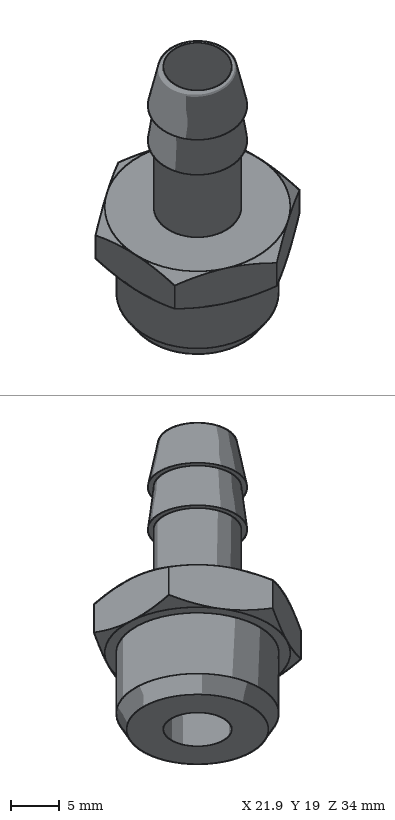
import cadquery as cq
import math

total_height = 34.0
thread_length = 9.0
hex_height = 5.0
hex_top = thread_length + hex_height

thread_radius = 16.662 / 2
lead_in_height = 1.85
lead_in_angle = 30.0
lead_in_radius = thread_radius - lead_in_height * math.tan(math.radians(lead_in_angle))

across_flats = 19.0
hex_sides = 6
hex_half_angle = 180 / hex_sides
across_corners = across_flats / math.cos(math.radians(hex_half_angle))
hex_chamfer_angle = 30.0

bore_radius = 7.0 / 2
stem_radius = 9.0 / 2
barb_radius = 10.2 / 2
barb_pitch = 5.0
tip_barb_length = 5.5
upper_barb_z = total_height - tip_barb_length
lower_barb_z = upper_barb_z - barb_pitch
tip_radius = 4.0
tip_round = 0.5


def make_threaded_end():
    """Plain cylinder with a conical lead-in at the bottom."""
    half_section = (
        cq.Workplane("XZ")
        .moveTo(0, 0)
        .lineTo(lead_in_radius, 0)
        .lineTo(thread_radius, lead_in_height)
        .lineTo(thread_radius, thread_length)
        .lineTo(0, thread_length)
        .close()
    )
    return half_section.revolve(360, (0, 0, 0), (0, 1, 0))


def make_hexagon():
    """Hexagonal collar with corners on the X axis, both ends turned to a cone."""
    prism = (
        cq.Workplane("XY", origin=(0, 0, thread_length))
        .polygon(hex_sides, across_corners)
        .extrude(hex_height)
    )
    flat_radius = across_flats / 2
    corner_radius = across_corners / 2
    corner_drop = (corner_radius - flat_radius) * math.tan(math.radians(hex_chamfer_angle))
    turned_blank = (
        cq.Workplane("XZ")
        .moveTo(0, thread_length)
        .lineTo(flat_radius, thread_length)
        .lineTo(corner_radius, thread_length + corner_drop)
        .lineTo(corner_radius, hex_top - corner_drop)
        .lineTo(flat_radius, hex_top)
        .lineTo(0, hex_top)
        .close()
        .revolve(360, (0, 0, 0), (0, 1, 0))
    )
    return prism.intersect(turned_blank)


def make_hose_tail():
    """Stem with two tapered barbs and a rounded tip."""
    tail = (
        cq.Workplane("XZ")
        .moveTo(0, hex_top)
        .lineTo(stem_radius, hex_top)
        .lineTo(stem_radius, lower_barb_z)
        .lineTo(barb_radius, lower_barb_z)
        .lineTo(stem_radius, upper_barb_z)
        .lineTo(barb_radius, upper_barb_z)
        .lineTo(tip_radius, total_height)
        .lineTo(0, total_height)
        .close()
        .revolve(360, (0, 0, 0), (0, 1, 0))
    )
    return tail.faces(">Z").edges().fillet(tip_round)


def make_bore():
    """Through bore along the whole fitting."""
    return cq.Workplane("XY").circle(bore_radius).extrude(total_height)


body = make_threaded_end().union(make_hexagon()).union(make_hose_tail())
result = body.cut(make_bore())